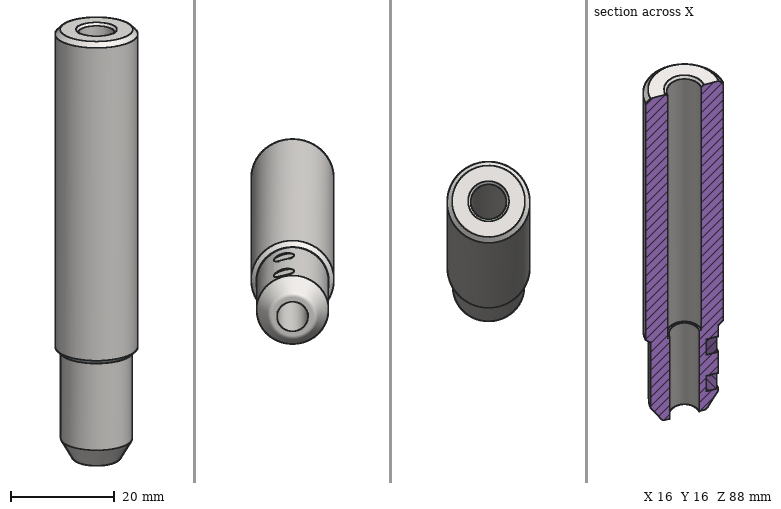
import cadquery as cq
import math

TOTAL_LENGTH = 88.0
SHANK_BOTTOM = 22.0
NOSE_HEIGHT = 4.2
NOSE_ANGLE = 30.0

SHANK_RADIUS = 8.0
STEM_RADIUS = 6.95
UPPER_BORE_RADIUS = 3.4
LOWER_BORE_RADIUS = 3.0
BORE_MOUTH_RADIUS = 4.0

SHANK_CHAMFER = 1.0
MOUTH_CHAMFER = BORE_MOUTH_RADIUS - UPPER_BORE_RADIUS
NOSE_FILLET = 1.0
NOSE_TIP_RADIUS = STEM_RADIUS - NOSE_HEIGHT * math.tan(math.radians(NOSE_ANGLE))

PLUG_RADIUS = 2.0
PLUG_HEIGHTS = [7.0, 16.9]
PLUG_LENGTH = 2.2
PLUG_SETBACK = 0.3
PLUG_FACE_Y = STEM_RADIUS - PLUG_SETBACK
POCKET_FLOOR_Y = PLUG_FACE_Y - PLUG_LENGTH


def radial_cylinder(height, length):
    """Cylinder of plug diameter, running along +Y from the pocket floor."""
    base = cq.Vector(0, POCKET_FLOOR_Y, height)
    return cq.Workplane(cq.Solid.makeCylinder(PLUG_RADIUS, length, base, cq.Vector(0, 1, 0)))


def make_pin_blank():
    """Stepped round pin with a tapered nose, solid throughout."""
    shank = (
        cq.Workplane("XY", origin=(0, 0, SHANK_BOTTOM))
        .circle(SHANK_RADIUS)
        .extrude(TOTAL_LENGTH - SHANK_BOTTOM)
        .edges()
        .chamfer(SHANK_CHAMFER)
    )
    stem_profile = [
        (0, 0),
        (NOSE_TIP_RADIUS, 0),
        (STEM_RADIUS, NOSE_HEIGHT),
        (STEM_RADIUS, SHANK_BOTTOM),
        (0, SHANK_BOTTOM),
    ]
    stem = cq.Workplane("XZ").polyline(stem_profile).close().revolve(360, (0, 0), (0, 1))
    stem = stem.faces("<Z").edges().fillet(NOSE_FILLET)
    return shank.union(stem)


def make_bore():
    """Through bore, wider along the shank and chamfered at its mouth."""
    profile = [
        (0, 0),
        (LOWER_BORE_RADIUS, 0),
        (LOWER_BORE_RADIUS, SHANK_BOTTOM),
        (UPPER_BORE_RADIUS, SHANK_BOTTOM),
        (UPPER_BORE_RADIUS, TOTAL_LENGTH - MOUTH_CHAMFER),
        (BORE_MOUTH_RADIUS, TOTAL_LENGTH),
        (0, TOTAL_LENGTH),
    ]
    return cq.Workplane("XZ").polyline(profile).close().revolve(360, (0, 0), (0, 1))


def make_pin():
    """Bored pin with one blind pocket for each plug."""
    pin = make_pin_blank().cut(make_bore())
    pocket_depth = STEM_RADIUS - POCKET_FLOOR_Y
    for height in PLUG_HEIGHTS:
        pin = pin.cut(radial_cylinder(height, pocket_depth))
    return pin


def make_plug(height):
    """Short round plug that fills its pocket up to the setback."""
    return radial_cylinder(height, PLUG_LENGTH)


pin = make_pin()
plugs = [make_plug(height) for height in PLUG_HEIGHTS]
result = cq.Compound.makeCompound([pin.solids().val()] + [plug.val() for plug in plugs])